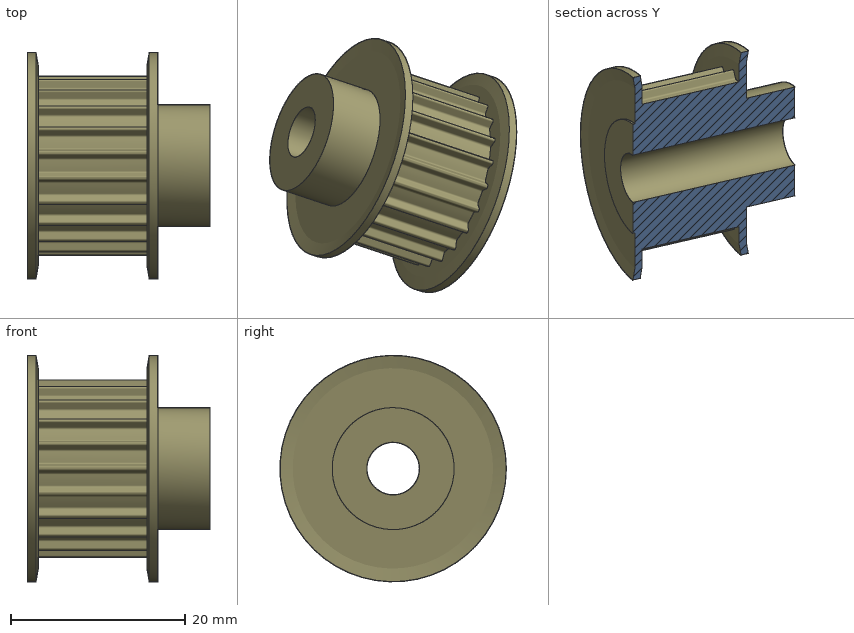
import cadquery as cq
import math

total_length = 21.0
hub_start = 15.0
hub_radius = 7.0
bore_radius = 3.0

flange_radius = 13.0
flange_flat_radius = 11.5
flange_thickness = 1.0
rim_bend_angle = 10.0

tooth_count = 22
tip_radius = 10.28
floor_radius = 9.3
groove_floor_half_width = 0.8
groove_wall_angle = 26
floor_fillet = 0.25
tip_fillet = 0.2

edge_radius_tolerance = 0.01
cutter_clearance = 1.0

rim_bend = (flange_radius - flange_flat_radius) * math.tan(math.radians(rim_bend_angle))
tooth_pitch_angle = 360.0 / tooth_count
first_flange_inner_face = rim_bend + flange_thickness
second_flange_inner_face = hub_start - first_flange_inner_face


def cylinder_along_x(radius, start, end):
    return cq.Workplane("YZ", origin=(start, 0, 0)).circle(radius).extrude(end - start)


def distance_from_axis(edge):
    center = edge.Center()
    return math.hypot(center.y, center.z)


def groove_cutter():
    """Trapezoidal groove on the +Z side, with a floor concentric to the axis."""
    floor_edge_height = math.sqrt(floor_radius**2 - groove_floor_half_width**2)
    top_height = tip_radius + cutter_clearance
    wall_run = (top_height - floor_edge_height) * math.tan(math.radians(groove_wall_angle))
    top_half_width = groove_floor_half_width + wall_run
    return (
        cq.Workplane("YZ", origin=(first_flange_inner_face, 0, 0))
        .moveTo(-groove_floor_half_width, floor_edge_height)
        .threePointArc((0, floor_radius), (groove_floor_half_width, floor_edge_height))
        .lineTo(top_half_width, top_height)
        .lineTo(-top_half_width, top_height)
        .close()
        .extrude(second_flange_inner_face - first_flange_inner_face)
    )


def toothed_drum():
    drum = cylinder_along_x(tip_radius, first_flange_inner_face, second_flange_inner_face)
    cutter = groove_cutter()
    for index in range(tooth_count):
        drum = drum.cut(cutter.rotate((0, 0, 0), (1, 0, 0), index * tooth_pitch_angle))

    middle_radius = (floor_radius + tip_radius) / 2
    floor_edges = drum.edges("|X").filter(lambda edge: distance_from_axis(edge) < middle_radius)
    drum = floor_edges.fillet(floor_fillet)
    tip_edges = drum.edges("|X").filter(
        lambda edge: distance_from_axis(edge) > tip_radius - edge_radius_tolerance
    )
    return tip_edges.fillet(tip_fillet)


def flange(rim_outer_face, inward):
    """Bent disc; inward is the X direction (+1 or -1) from the rim towards the belt."""
    flat_outer_face = rim_outer_face + inward * rim_bend
    profile = [
        (flat_outer_face, 0),
        (flat_outer_face, flange_flat_radius),
        (rim_outer_face, flange_radius),
        (rim_outer_face + inward * flange_thickness, flange_radius),
        (flat_outer_face + inward * flange_thickness, flange_flat_radius),
        (flat_outer_face + inward * flange_thickness, 0),
    ]
    return cq.Workplane("XY").polyline(profile).close().revolve(360, (0, 0, 0), (1, 0, 0))


collar = cylinder_along_x(hub_radius, 0, first_flange_inner_face)
hub = cylinder_along_x(hub_radius, second_flange_inner_face, total_length)
bore = cylinder_along_x(bore_radius, 0, total_length)

result = (
    toothed_drum()
    .union(flange(0, 1))
    .union(flange(hub_start, -1))
    .union(collar)
    .union(hub)
    .cut(bore)
)